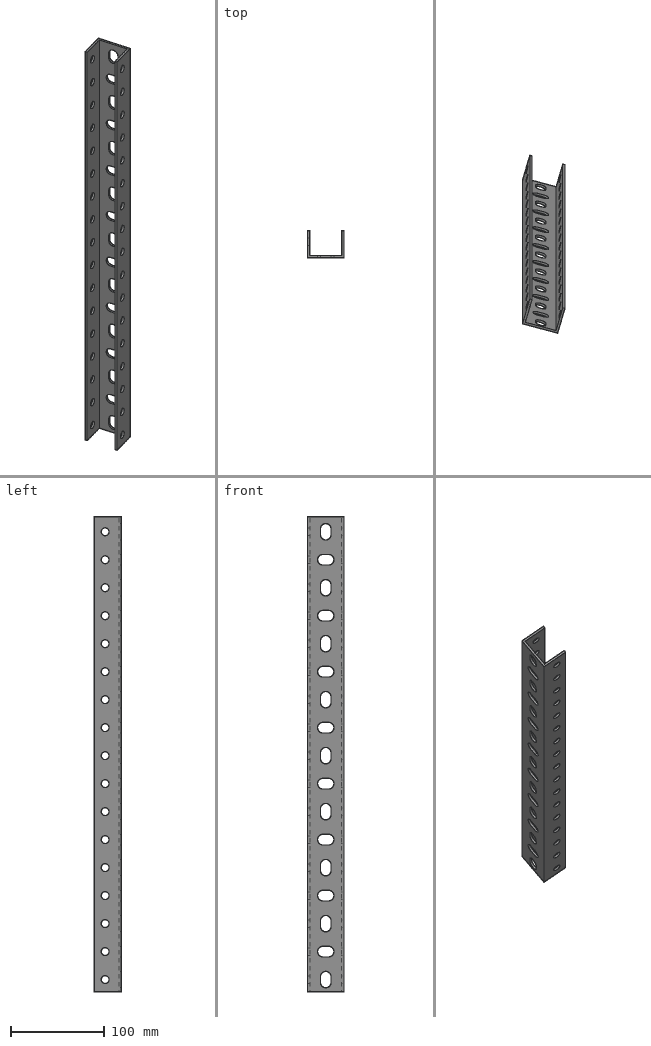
import cadquery as cq

length = 510.0
width = 39.5
depth = 29.0
thickness = 2.5

station_count = 17
bottom_margin = 13.5
top_margin = 16.5
pitch = (length - bottom_margin - top_margin) / (station_count - 1)
stations = [bottom_margin + i * pitch for i in range(station_count)]

slot_length = 17.5
slot_width = 11.0
flange_hole_diameter = 8.0
flange_hole_y = 17.5


def make_channel():
    """Plain U-channel with square corners."""
    outer = cq.Workplane("XY").box(width, depth, length, centered=(True, False, False))
    inner = (
        cq.Workplane("XY")
        .box(width - 2 * thickness, depth, length, centered=(True, False, False))
        .translate((0, thickness, 0))
    )
    return outer.cut(inner)


def web_slots(heights, angle):
    """Slot cutters through the web; angle 0 lies along X, 90 along Z."""
    return (
        cq.Workplane("XZ")
        .pushPoints([(0, z) for z in heights])
        .slot2D(slot_length, slot_width, angle)
        .extrude(-2 * thickness)
    )


def flange_holes(heights):
    """Round cutters that pass through both flanges."""
    return (
        cq.Workplane("YZ")
        .pushPoints([(flange_hole_y, z) for z in heights])
        .circle(flange_hole_diameter / 2)
        .extrude(width, both=True)
    )


result = (
    make_channel()
    .cut(web_slots(stations[0::2], 90))
    .cut(web_slots(stations[1::2], 0))
    .cut(flange_holes(stations))
)